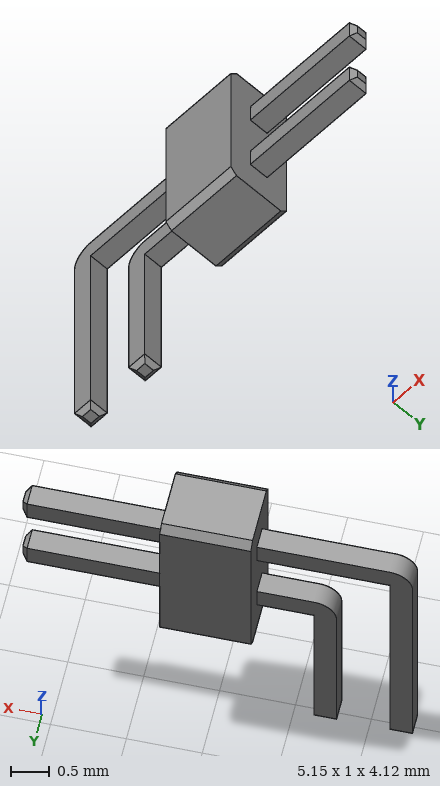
import cadquery as cq

total_length = 5.15
total_height = 4.12

pitch = 1.0
body_length = 1.2
body_depth = pitch
body_height = 2.3
body_chamfer = 0.105
body_start = 2.05

pin_size = 0.3
tip_chamfer = 0.07
body_center_z = total_height - body_height / 2
outer_pin_top = body_center_z + pitch / 2 + pin_size / 2


def make_body():
    """Block with its four edges along X chamfered."""
    return (
        cq.Workplane("XY")
        .box(body_length, body_depth, body_height, centered=(False, True, True))
        .edges("|X")
        .chamfer(body_chamfer)
        .translate((body_start, 0, body_center_z))
    )


def make_pin(left, top):
    """L-shaped pin with a rounded outer bend, a sharp inner corner and tapered tips."""
    pin = (
        cq.Workplane("XZ")
        .moveTo(left, 0)
        .lineTo(left, top)
        .lineTo(total_length, top)
        .lineTo(total_length, top - pin_size)
        .lineTo(left + pin_size, top - pin_size)
        .lineTo(left + pin_size, 0)
        .close()
        .extrude(pin_size / 2, both=True)
    )
    pin = pin.edges("|Y").edges(cq.selectors.NearestToPointSelector((left, 0, top))).fillet(pin_size)
    pin = pin.faces(">X").chamfer(tip_chamfer)
    return pin.faces("<Z").chamfer(tip_chamfer)


result = make_body()
for row in range(2):
    offset = row * pitch
    result = result.union(make_pin(offset, outer_pin_top - offset))